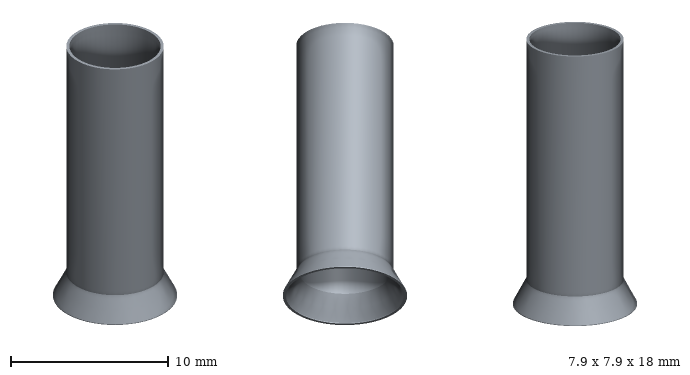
import cadquery as cq

length = 18.0
tube_outer_diameter = 6.2
wall = 0.2
flare_diameter = 7.9
flare_height = 1.7
rim_height = 0.05

tube_radius = tube_outer_diameter / 2
flare_radius = flare_diameter / 2
bore_radius = tube_radius - wall
mouth_radius = flare_radius - wall

wall_section = [
    (mouth_radius, 0),
    (flare_radius, 0),
    (flare_radius, rim_height),
    (tube_radius, flare_height),
    (tube_radius, length),
    (bore_radius, length),
    (bore_radius, flare_height),
    (mouth_radius, rim_height),
]

result = cq.Workplane("XZ").polyline(wall_section).close().revolve(360, (0, 0, 0), (0, 1, 0))